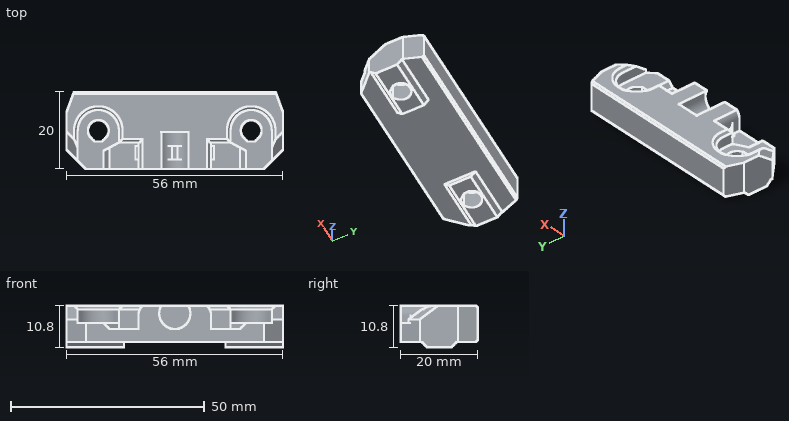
import cadquery as cq
import math

length = 56.0
width = 20.0
body_height = 9.4
foot_height = 1.4
half_length = length / 2

front_corner = 5.0
rear_corner_x = 1.9
rear_corner_y = 5.2
rear_chamfer = 0.5
corner_slant_depth = 3.5
corner_slant_run = 4.7

foot_length = 14.9
foot_base_width = 9.1

screw_x = 19.75
screw_y = width / 2
hole_diameter = 5.3
hole_radius = hole_diameter / 2
hole_tip = 2.8
pocket_radius = 5.3
pocket_depth = 4.5
rim_chamfer = 0.95

bore_radius = 4.05
bore_axis_depth = 2.0
bore_length = 9.65

recess_depth = 6.0
recess_back = 6.9
recess_inner_x = 9.4
recess_outer_x = 18.4
recess_bevel_end_y = 4.75
shoulder_axis_depth = 2.5

tunnel_y = 2.5
tunnel_width = 3.4
tunnel_thickness = 2.0

shoulder_radius = recess_depth - shoulder_axis_depth
shoulder_axis_x = recess_inner_x - shoulder_radius
pocket_inner_x = screw_x - pocket_radius


def both_sides(solid):
    """The solid together with its mirror image about x = 0."""
    return solid.union(solid.mirror("YZ"))


def along_y(profile, start, depth):
    """Extrude a closed XZ outline from y = start towards +Y."""
    return profile.extrude(-depth).translate((0, start, 0))


def make_body():
    """Plate with cut corners and chamfered rear edges."""
    rear_x = half_length - rear_corner_x
    front_x = half_length - front_corner
    side_rear_y = width - rear_corner_y
    outline = [
        (-front_x, 0), (front_x, 0),
        (half_length, front_corner), (half_length, side_rear_y),
        (rear_x, width), (-rear_x, width),
        (-half_length, side_rear_y), (-half_length, front_corner),
    ]
    plate = cq.Workplane("XY").polyline(outline).close().extrude(-body_height)
    side = [
        (0, 0), (width - rear_chamfer, 0), (width, -rear_chamfer),
        (width, rear_chamfer - body_height), (width - rear_chamfer, -body_height), (0, -body_height),
    ]
    envelope = cq.Workplane("YZ").polyline(side).close().extrude(half_length, both=True)
    return plate.intersect(envelope)


def make_foot():
    """Trapezoidal foot with 45 degree flanks below the +X end."""
    base = foot_base_width / 2
    tip = base - foot_height
    section = [
        (screw_y - base, -body_height), (screw_y + base, -body_height),
        (screw_y + tip, -body_height - foot_height), (screw_y - tip, -body_height - foot_height),
    ]
    start = half_length - foot_length
    return cq.Workplane("YZ", origin=(start, 0, 0)).polyline(section).close().extrude(foot_length)


def make_corner_slant():
    """Wedge that slants the top of the front +X corner, parallel to the corner cut."""
    run = corner_slant_run / math.sqrt(2)
    section_plane = cq.Plane(
        origin=(half_length, front_corner + corner_slant_run, 0), xDir=(1, -1, 0), normal=(-1, -1, 0)
    )
    section = [(0, 0), (2 * run, 0), (2 * run, -2 * corner_slant_depth)]
    return cq.Workplane(section_plane).polyline(section).close().extrude(half_length, both=True)


def make_screw_pocket():
    """U-shaped pocket with a chamfered rim and its through hole."""
    rim_radius = pocket_radius + rim_chamfer
    pocket = cq.Workplane("XY").circle(pocket_radius).extrude(-pocket_depth)
    rim = cq.Solid.makeCone(rim_radius, pocket_radius, rim_chamfer, dir=cq.Vector(0, 0, -1))
    section = [
        (-pocket_radius, -pocket_depth), (pocket_radius, -pocket_depth), (pocket_radius, -rim_chamfer),
        (rim_radius, 0), (-rim_radius, 0), (-pocket_radius, -rim_chamfer),
    ]
    channel = along_y(cq.Workplane("XZ").polyline(section).close(), -screw_y, screw_y)

    tangent = hole_radius * math.sqrt(0.5)
    tip_half = hole_radius * math.sqrt(2) - hole_tip
    hole = cq.Workplane("XY").moveTo(-tangent, -tangent)
    hole = hole.threePointArc((0, hole_radius), (tangent, -tangent))
    hole = hole.lineTo(tip_half, -hole_tip).lineTo(-tip_half, -hole_tip).close()
    hole = hole.extrude(-body_height - foot_height)
    pocket = pocket.union(cq.Workplane(rim)).union(channel).union(hole)
    return pocket.translate((screw_x, screw_y, 0))


def make_recess():
    """Recess between bore and screw pocket, with a rounded wall towards the bore."""
    step = recess_depth - pocket_depth
    top_back = recess_back + rim_chamfer
    arc_angle = math.asin(shoulder_axis_depth / shoulder_radius)
    wall_top_x = shoulder_axis_x + shoulder_radius * math.cos(arc_angle)
    arc_middle = (
        shoulder_axis_x + shoulder_radius * math.cos(arc_angle / 2),
        -shoulder_axis_depth + shoulder_radius * math.sin(arc_angle / 2),
    )
    front = cq.Workplane("XZ").moveTo(recess_inner_x, -recess_depth)
    front = front.lineTo(recess_inner_x, -shoulder_axis_depth).threePointArc(arc_middle, (wall_top_x, 0))
    front = front.lineTo(pocket_inner_x, 0).lineTo(pocket_inner_x, -pocket_depth)
    front = front.lineTo(recess_outer_x, -pocket_depth).lineTo(recess_outer_x - step, -recess_depth).close()

    plan = [
        (0, 0), (recess_outer_x, 0), (recess_outer_x, recess_bevel_end_y),
        (pocket_inner_x, recess_back), (0, recess_back),
    ]
    envelope = cq.Workplane("XY").polyline(plan).close().extrude(-recess_depth)
    back_section = [(0, 0), (top_back, 0), (recess_back, -rim_chamfer), (0, -rim_chamfer)]
    back_chamfer = cq.Workplane("YZ").polyline(back_section).close().extrude(pocket_inner_x)
    envelope = envelope.union(back_chamfer)
    return along_y(front, 0, top_back).intersect(envelope)


def make_bore():
    """Blind round channel from the front, breaking through the top face."""
    circle = cq.Workplane("XZ").center(0, -bore_axis_depth).circle(bore_radius)
    return along_y(circle, 0, bore_length)


def lower_stadium(radius):
    """Lower half of a stadium around the shoulder axes, as deep as the strap tunnel is wide."""
    diagonal = radius * math.sqrt(0.5)
    outline = cq.Workplane("XZ").center(0, -shoulder_axis_depth).moveTo(-shoulder_axis_x - radius, 0)
    outline = outline.threePointArc((-shoulder_axis_x - diagonal, -diagonal), (-shoulder_axis_x, -radius))
    outline = outline.lineTo(shoulder_axis_x, -radius)
    outline = outline.threePointArc((shoulder_axis_x + diagonal, -diagonal), (shoulder_axis_x + radius, 0))
    return along_y(outline.close(), tunnel_y, tunnel_width)


def make_tunnel():
    """Lower half of a stadium-shaped ring that lets a strap pass under the bore."""
    return lower_stadium(shoulder_radius + tunnel_thickness).cut(lower_stadium(shoulder_radius))


result = make_body().union(both_sides(make_foot()))
result = result.cut(both_sides(make_corner_slant()))
result = result.cut(both_sides(make_screw_pocket()))
result = result.cut(both_sides(make_recess()))
result = result.cut(make_bore())
result = result.cut(make_tunnel())